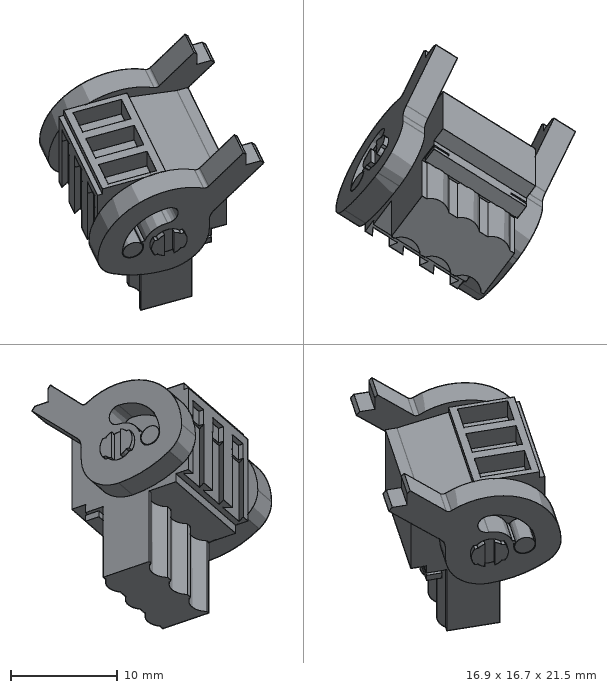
import cadquery as cq
import math


housing_width = 10.55
back_y = 6.91
front_y = -6.05
top_z = 6.59
front_ledge_y = -5.55
front_ledge_z = 5.88
roof_start_y = 0.8
roof_step = 0.62
roof_end_y = 5.8
roof_angle = 10.9
bottom_z = -3.27
lip_back_y = 5.38
lip_front_y = -4.67
lip_z = -4.18
plug_back_y = 3.42
plug_front_y = -1.7
plug_bottom_z = -12.1

pole_count = 3
pole_pitch = 3.49
channel_radius = 1.77
channel_depth = 0.78
bulge_radius = 1.75
bulge_height = 0.54
window_width = 1.85
window_depth = 0.54
window_top_z = 4.9
window_bottom_z = 3.3
slot_width = 1.92
slot_depth = 0.75
slot_flare = 30.0
pocket_width = 2.6
pocket_offset_x = 0.09
pocket_back_y = 0.02
pocket_front_y = -4.82
pocket_depth = 2.07
contact_height = 6.03

bar_inner_y = 3.9
bar_top_z = -4.48
bar_bottom_z = -5.15
bar_neck_inset = 1.72

overall_width = 16.9
lever_inner_x = 5.51
lever_thickness = 2.45
shaft_radius = 1.53
head_radius = 1.79
ear_half_height = 1.01
head_slot_width = 0.97
guide_distance = 3.49
guide_radius = 1.0
guide_slot_radius = 1.05
detent_radius = 0.24
detent_angle = 14.0
hub_radius = 4.18
cam_radius = 7.0
belly_radius = 10.4
arm_root_y = 3.88
arm_root_z = 2.0
arm_tip = [(9.67, 7.23), (9.32, 7.65), (7.88, 7.65), (7.88, 9.1), (7.6, 9.43)]
arm_top_fillet = 0.43
arm_bottom_fillet = 1.72

half_width = housing_width / 2
roof_start_z = top_z - roof_step
roof_end_z = roof_start_z - (roof_end_y - roof_start_y) * math.tan(math.radians(roof_angle))
pole_xs = [(i - (pole_count - 1) / 2) * pole_pitch for i in range(pole_count)]
pocket_floor_z = top_z - pocket_depth
contact_bottom_z = pocket_floor_z - contact_height
lever_outer_x = lever_inner_x + lever_thickness
head_height = overall_width / 2 - lever_outer_x


def block(x_range, y_range, z_range):
    """Box spanning the given coordinate ranges."""
    (x0, x1), (y0, y1), (z0, z1) = x_range, y_range, z_range
    return cq.Workplane("XY").box(x1 - x0, y1 - y0, z1 - z0, centered=False).translate((x0, y0, z0))


def disc_x(y, z, radius, x_start, length):
    """Cylinder along +X, starting at x_start."""
    return cq.Workplane("YZ", origin=(x_start, y, z)).circle(radius).extrude(length)


def post_z(x, y, radius):
    """Vertical cylinder as tall as the plug."""
    height = lip_z - plug_bottom_z
    return cq.Workplane("XY", origin=(x, y, plug_bottom_z)).circle(radius).extrude(height)


def housing_shell():
    """Stepped side profile of the housing and its plug, extruded across the width."""
    profile = [
        (front_y, bottom_z),
        (front_y, front_ledge_z),
        (front_ledge_y, front_ledge_z),
        (front_ledge_y, top_z),
        (roof_start_y, top_z),
        (roof_start_y, roof_start_z),
        (roof_end_y, roof_end_z),
        (back_y, roof_end_z),
        (back_y, bottom_z),
        (lip_back_y, bottom_z),
        (lip_back_y, lip_z),
        (plug_back_y, lip_z),
        (plug_back_y, plug_bottom_z),
        (plug_front_y, plug_bottom_z),
        (plug_front_y, lip_z),
        (lip_front_y, lip_z),
        (lip_front_y, bottom_z),
    ]
    return cq.Workplane("YZ").polyline(profile).close().extrude(half_width, both=True)


def latch_bar():
    """Bar below the back of the housing, hung from a shorter neck."""
    neck_half = half_width - bar_neck_inset
    neck = block((-neck_half, neck_half), (plug_back_y, lip_back_y), (bar_top_z, lip_z))
    bar = block((-half_width, half_width), (bar_inner_y, lip_back_y), (bar_bottom_z, bar_top_z))
    return neck.union(bar)


def plug_channel(x):
    """Cutter for the concave channel on the front of the plug."""
    return post_z(x, plug_front_y + channel_depth - channel_radius, channel_radius)


def plug_bulge(x):
    """Convex bulge on the back of the plug."""
    return post_z(x, plug_back_y + bulge_height - bulge_radius, bulge_radius)


def front_window(x):
    """Cutter for the shallow window in the front wall."""
    x_range = (x - window_width / 2, x + window_width / 2)
    return block(x_range, (front_y, front_y + window_depth), (window_bottom_z, window_top_z))


def dovetail_slot(x):
    """Cutter for the slot from the window down to the bottom edge, wider inside than outside."""
    mouth = slot_width / 2
    floor = mouth + slot_depth * math.tan(math.radians(slot_flare))
    floor_y = front_y + slot_depth
    section = [(x - mouth, front_y), (x + mouth, front_y), (x + floor, floor_y), (x - floor, floor_y)]
    slot = cq.Workplane("XY", origin=(0, 0, bottom_z)).polyline(section).close()
    return slot.extrude(window_bottom_z - bottom_z)


def pocket_block(x, bottom, top):
    """Block with the plan outline of one top pocket."""
    centre = x + pocket_offset_x
    x_range = (centre - pocket_width / 2, centre + pocket_width / 2)
    return block(x_range, (pocket_front_y, pocket_back_y), (bottom, top))


def lever_mount():
    """Shaft with its slotted retaining head, and the guide pin, on the +X side."""
    shaft = disc_x(0, 0, shaft_radius, half_width, lever_outer_x + head_height - half_width)
    ears = disc_x(0, 0, head_radius, lever_outer_x, head_height)
    head_x = (lever_outer_x, lever_outer_x + head_height)
    ears = ears.intersect(
        block(head_x, (-head_radius, head_radius), (-ear_half_height, ear_half_height))
    )
    slot = block(
        head_x,
        (-head_slot_width / 2, head_slot_width / 2),
        (-head_radius, head_radius),
    )
    guide_pin = disc_x(-guide_distance, 0, guide_radius, half_width, lever_outer_x - half_width)
    return shaft.union(ears).cut(slot).union(guide_pin)


def make_housing():
    body = housing_shell().union(latch_bar())
    for x in pole_xs:
        body = body.union(plug_bulge(x))
        body = body.cut(plug_channel(x))
        body = body.cut(front_window(x))
        body = body.cut(dovetail_slot(x))
        body = body.cut(pocket_block(x, contact_bottom_z, top_z))
    mount = lever_mount()
    return body.union(mount).union(mount.mirror("YZ"))


def make_contact(x):
    """Contact block filling the lower part of one pocket."""
    return pocket_block(x, contact_bottom_z, pocket_floor_z)


def arc_point(radius, degrees, centre=(0, 0)):
    """Point on a circle; the angle is measured from -Y towards +Z."""
    angle = math.radians(degrees)
    return (centre[0] - radius * math.cos(angle), centre[1] + radius * math.sin(angle))


def guide_slot():
    """Cutter for the curved guide slot, with the detent nose left standing in it."""
    outer = guide_distance + guide_slot_radius
    inner = guide_distance - guide_slot_radius
    slot = (
        cq.Workplane("YZ", origin=(lever_inner_x, 0, 0))
        .moveTo(-outer, 0)
        .threePointArc(arc_point(outer, 45), (0, outer))
        .threePointArc((guide_slot_radius, guide_distance), (0, inner))
        .threePointArc(arc_point(inner, 45), (-inner, 0))
        .threePointArc((-guide_distance, -guide_slot_radius), (-outer, 0))
        .close()
        .extrude(lever_thickness)
    )
    nose_y, nose_z = arc_point(inner, detent_angle)
    return slot.cut(disc_x(nose_y, nose_z, detent_radius, lever_inner_x, lever_thickness))


def lever_outline():
    """Cam-shaped plate with its arm, filleted at the arm root."""
    belly_z = belly_radius - hub_radius
    nose_radius = (belly_radius**2 - belly_z**2 - cam_radius**2) / (2 * (belly_radius - cam_radius))
    nose_y = nose_radius - cam_radius
    tangent_angle = math.degrees(math.atan2(-belly_z, -nose_y))
    nose_end = arc_point(nose_radius, tangent_angle, (nose_y, 0))
    nose_mid = arc_point(nose_radius, tangent_angle / 2, (nose_y, 0))
    belly_mid = arc_point(belly_radius, (tangent_angle - 90) / 2, (0, belly_z))

    root_top = (arm_root_y, math.sqrt(cam_radius**2 - arm_root_y**2))
    root_bottom = (hub_radius, arm_root_z)
    mid_x = lever_inner_x + lever_thickness / 2
    root_top_edge = cq.selectors.NearestToPointSelector((mid_x, *root_top))
    root_bottom_edge = cq.selectors.NearestToPointSelector((mid_x, *root_bottom))
    return (
        cq.Workplane("YZ", origin=(lever_inner_x, 0, 0))
        .moveTo(-cam_radius, 0)
        .threePointArc(nose_mid, nose_end)
        .threePointArc(belly_mid, (0, -hub_radius))
        .threePointArc(arc_point(hub_radius, 225), (hub_radius, 0))
        .lineTo(*root_bottom)
        .polyline([*arm_tip, root_top], includeCurrent=True)
        .threePointArc(arc_point(cam_radius, 60), (-cam_radius, 0))
        .close()
        .extrude(lever_thickness)
        .edges(root_top_edge)
        .fillet(arm_top_fillet)
        .edges(root_bottom_edge)
        .fillet(arm_bottom_fillet)
    )


def make_lever():
    """Lever on the +X side, with its pivot hole and guide slot."""
    pivot_hole = disc_x(0, 0, shaft_radius, lever_inner_x, lever_thickness)
    return lever_outline().cut(pivot_hole).cut(guide_slot())


housing = make_housing()
contacts = [make_contact(x) for x in pole_xs]
lever = make_lever()
levers = [lever, lever.mirror("YZ")]

result = cq.Compound.makeCompound([body.val() for body in [housing, *contacts, *levers]])